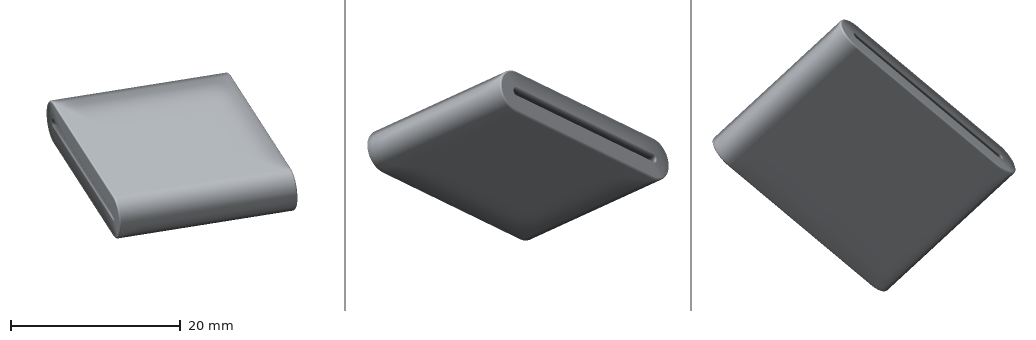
import cadquery as cq

width = 28.5
depth = 22.0
height = 5.4

slot_height = 0.8
slot_width = width - height + slot_height

edge_radius = 0.2


def rounded_bar(bar_width, bar_height):
    """Full-depth bar along Y, with a cross-section that has semicircular ends."""
    return cq.Workplane("XZ").slot2D(bar_width, bar_height).extrude(depth / 2, both=True)


sleeve = rounded_bar(width, height).cut(rounded_bar(slot_width, slot_height))

result = sleeve.faces("<Y or >Y").edges().fillet(edge_radius)